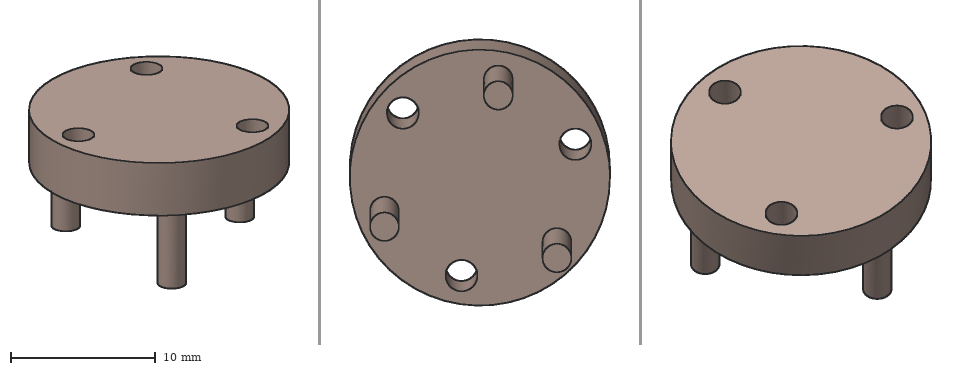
import cadquery as cq

disc_diameter = 18.0
total_height = 10.0
disc_thickness = 4.0
pin_length = total_height - disc_thickness

pin_diameter = 2.0
hole_diameter = 2.2
circle_radius = 7.0
count = 3
first_pin_angle = 90
first_hole_angle = first_pin_angle + 180 / count

disc = cq.Workplane("XY").circle(disc_diameter / 2).extrude(disc_thickness)

holes = (
    cq.Workplane("XY")
    .polarArray(circle_radius, first_hole_angle, 360, count)
    .circle(hole_diameter / 2)
    .extrude(disc_thickness)
)

pins = (
    cq.Workplane("XY")
    .polarArray(circle_radius, first_pin_angle, 360, count)
    .circle(pin_diameter / 2)
    .extrude(-pin_length)
)

result = disc.cut(holes).union(pins)